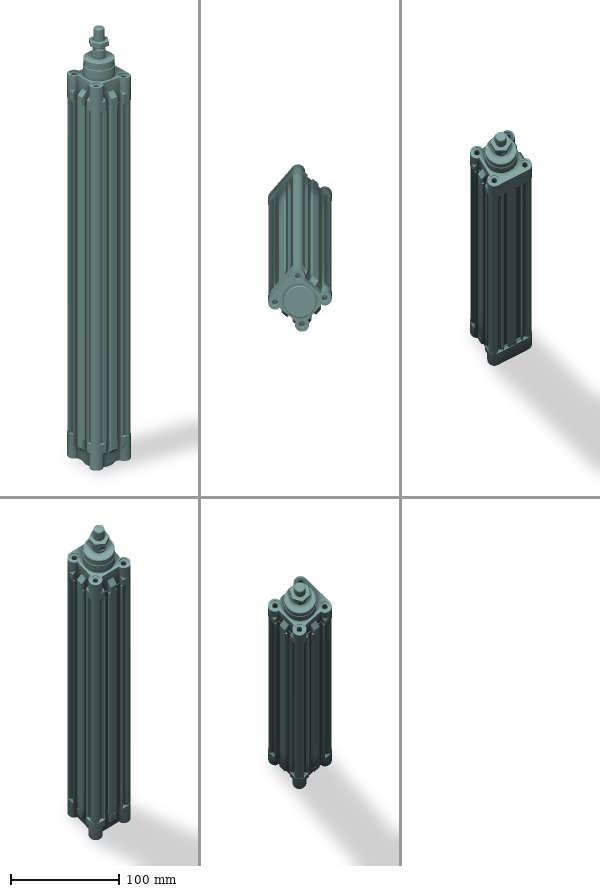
import cadquery as cq
import math


BODY_LENGTH = 394.0
CAP_LENGTH = 25.5
ROD_REACH = 48.0
PROFILE_END = BODY_LENGTH - CAP_LENGTH

BODY_WIDTH = 45.5
HALF_WIDTH = BODY_WIDTH / 2
SCREW_PITCH = 32.5
POST_OFFSET = SCREW_PITCH / 2
POST_RADIUS = HALF_WIDTH - POST_OFFSET
PROFILE_WIDTH = 45.0
HALF_PROFILE = PROFILE_WIDTH / 2
PROFILE_CORNER_RADIUS = HALF_PROFILE - POST_OFFSET
RECESS_WIDTH = 20.6
HALF_RECESS = RECESS_WIDTH / 2
CAP_FACE = 17.35
PROFILE_FACE = 18.3
ROOT_DEPTH = 3.0

BLOCK_LENGTH = 9.4
MIDDLE_BLOCK_TOP = 22.7

RIB_NECK = 6.8
RIB_HEAD = 9.4
HEAD_START = 20.3
CORNER_LIP = 0.8

GROOVE_OFFSET = 13.4
GROOVE_STEPS = ((6.2, 1.0), (4.0, 2.5), (1.4, 3.5))

RECESS_DIAMETER = 9.5
RECESS_DEPTH = 1.0
SCREW_THREAD = 6.0
SCREW_CORE = 4.92
SCREW_HOLE_DEPTH = 12.0
DRILL_POINT_ANGLE = 118.0

COLLAR_DIAMETER = 30.0
COLLAR_NOSE_DIAMETER = 29.0
COLLAR_LENGTH = 18.0
COLLAR_BASE_LENGTH = 10.5
REAR_COLLAR_LENGTH = 4.0
COLLAR_CHAMFER = 0.5

ROD_DIAMETER = 12.0
THREAD_DIAMETER = 10.0
THREAD_CORE = 8.65
THREAD_LENGTH = 20.6
ROD_SHOULDER_CHAMFER = (ROD_DIAMETER - THREAD_DIAMETER) / 2
FLATS_ACROSS = 10.0
FLATS_LENGTH = 6.5
NUT_ACROSS_FLATS = 17.0
NUT_THICKNESS = 5.0
NUT_FACE_DIAMETER = 17.0
NUT_BEVEL_ANGLE = 15.0
NUT_SETBACK = 12.5

ROD_TIP = BODY_LENGTH + ROD_REACH
SHOULDER = ROD_TIP - THREAD_LENGTH
CORNERS = [(x, y) for x in (-POST_OFFSET, POST_OFFSET) for y in (-POST_OFFSET, POST_OFFSET)]


def turned(shape, angle):
    """Turn a shape about the cylinder axis."""
    return shape.rotate((0, 0, 0), (0, 0, 1), angle)


def box(x_range, y_range, z_range):
    """Box between two limits along each axis."""
    size = [high - low for low, high in (x_range, y_range, z_range)]
    corner = (x_range[0], y_range[0], z_range[0])
    return cq.Workplane("XY").box(*size, centered=False).translate(corner)


def profile_rib():
    """Rib in the middle of the -Y side: a narrow neck and a wider head with bevelled corners."""
    neck = RIB_NECK / 2
    head = RIB_HEAD / 2
    bevel = head - neck
    right_half = [
        (neck, -HALF_PROFILE),
        (head, -HALF_PROFILE + bevel),
        (head, -HEAD_START),
        (neck, -HEAD_START),
        (neck, -PROFILE_FACE + ROOT_DEPTH),
    ]
    left_half = [(-x, y) for x, y in reversed(right_half)]
    return (
        cq.Workplane("XY")
        .workplane(offset=CAP_LENGTH)
        .polyline(right_half + left_half)
        .close()
        .extrude(PROFILE_END - CAP_LENGTH)
    )


def profile_side_channels():
    """Material removed on the -Y side: the recess between the corners and the stepped grooves."""
    z_range = (CAP_LENGTH, PROFILE_END)
    opening = HALF_RECESS - CORNER_LIP
    channels = box((-opening, opening), (-HALF_PROFILE, -PROFILE_FACE), z_range)
    channels = channels.union(box((-HALF_RECESS, HALF_RECESS), (-HEAD_START, -PROFILE_FACE), z_range))
    for side in (-1, 1):
        centre = side * GROOVE_OFFSET
        for width, depth in GROOVE_STEPS:
            x_range = (centre - width / 2, centre + width / 2)
            channels = channels.union(box(x_range, (-HALF_PROFILE, -HALF_PROFILE + depth), z_range))
    return channels


def make_profile():
    """Extruded tube section, the same on all four sides."""
    profile = (
        cq.Workplane("XY")
        .workplane(offset=CAP_LENGTH)
        .rect(PROFILE_WIDTH, PROFILE_WIDTH)
        .extrude(PROFILE_END - CAP_LENGTH)
        .edges("|Z")
        .fillet(PROFILE_CORNER_RADIUS)
    )
    for angle in range(0, 360, 90):
        profile = profile.cut(turned(profile_side_channels(), angle))
        profile = profile.union(turned(profile_rib(), angle))
    return profile


def lead_block(x_low, x_high, top):
    """Block on the -Y side of the rear cap, with a 45 degree ramp down to the cap face."""
    root = -CAP_FACE + ROOT_DEPTH
    flat_start = CAP_LENGTH - BLOCK_LENGTH
    ramp_start = flat_start - (top - CAP_FACE)
    return (
        cq.Workplane("YZ")
        .workplane(offset=x_low)
        .polyline([
            (root, CAP_LENGTH),
            (-top, CAP_LENGTH),
            (-top, flat_start),
            (-CAP_FACE, ramp_start),
            (root, ramp_start),
        ])
        .close()
        .extrude(x_high - x_low)
    )


def make_rear_cap():
    """Rear cap with corner posts, a full +Y side and lead blocks on the three other sides."""
    cap = box((-CAP_FACE, CAP_FACE), (-CAP_FACE, CAP_FACE), (0, CAP_LENGTH))
    cap = cap.union(cq.Workplane("XY").pushPoints(CORNERS).circle(POST_RADIUS).extrude(CAP_LENGTH))
    cap = cap.union(box((-POST_OFFSET, POST_OFFSET), (0, HALF_WIDTH), (0, CAP_LENGTH)))
    blocks = (
        lead_block(-RIB_NECK / 2, RIB_NECK / 2, MIDDLE_BLOCK_TOP),
        lead_block(-POST_OFFSET, -HALF_RECESS, HALF_WIDTH),
        lead_block(HALF_RECESS, POST_OFFSET, HALF_WIDTH),
    )
    side_recess = box((-HALF_RECESS, HALF_RECESS), (-HALF_WIDTH, -CAP_FACE), (0, CAP_LENGTH))
    for angle in (-90, 0, 90):
        cap = cap.cut(turned(side_recess, angle))
        for block in blocks:
            cap = cap.union(turned(block, angle))
    return cap.cut(screw_recesses())


def screw_recesses():
    """Screw recesses in the outer end of the posts: wide seat, thread mouth, core and drill point."""
    seat = RECESS_DIAMETER / 2
    mouth = SCREW_THREAD / 2
    core = SCREW_CORE / 2
    mouth_end = RECESS_DEPTH + mouth - core
    point = core / math.tan(math.radians(DRILL_POINT_ANGLE / 2))
    recess = (
        cq.Workplane("XZ")
        .polyline([
            (0, 0),
            (seat, 0),
            (seat, RECESS_DEPTH),
            (mouth, RECESS_DEPTH),
            (core, mouth_end),
            (core, SCREW_HOLE_DEPTH),
            (0, SCREW_HOLE_DEPTH + point),
        ])
        .close()
        .revolve(360, (0, 0, 0), (0, 1, 0))
    )
    recesses = cq.Workplane("XY")
    for x, y in CORNERS:
        recesses = recesses.add(recess.translate((x, y, 0)))
    return recesses.combine()


def make_front_collar():
    """Front collar: a wide base and a slightly narrower nose."""
    base = cq.Workplane("XY").workplane(offset=BODY_LENGTH).circle(COLLAR_DIAMETER / 2)
    base = base.extrude(COLLAR_BASE_LENGTH).faces(">Z").chamfer(COLLAR_CHAMFER)
    nose = cq.Workplane("XY").workplane(offset=BODY_LENGTH).circle(COLLAR_NOSE_DIAMETER / 2)
    nose = nose.extrude(COLLAR_LENGTH).faces(">Z").chamfer(COLLAR_CHAMFER)
    return base.union(nose)


def make_rear_collar():
    """Short centring collar behind the rear cap."""
    collar = cq.Workplane("XY").circle(COLLAR_DIAMETER / 2).extrude(-REAR_COLLAR_LENGTH)
    return collar.faces("<Z").chamfer(COLLAR_CHAMFER)


def make_housing():
    """Profile, both caps and collars as one body, with a bore for the rod in the front cap."""
    rear_cap = make_rear_cap()
    front_cap = rear_cap.mirror("XY").translate((0, 0, BODY_LENGTH))
    housing = make_profile().union(rear_cap).union(front_cap)
    housing = housing.union(make_front_collar()).union(make_rear_collar())
    bore = cq.Workplane("XY").workplane(offset=PROFILE_END).circle(ROD_DIAMETER / 2)
    return housing.cut(bore.extrude(ROD_TIP - PROFILE_END))


def make_rod():
    """Piston rod with two wrench flats and a threaded end."""
    rod = cq.Workplane("XY").workplane(offset=PROFILE_END).circle(ROD_DIAMETER / 2)
    rod = rod.extrude(SHOULDER - PROFILE_END).faces(">Z").chamfer(ROD_SHOULDER_CHAMFER)
    half_rod = ROD_DIAMETER / 2
    for y_range in ((-half_rod, -FLATS_ACROSS / 2), (FLATS_ACROSS / 2, half_rod)):
        rod = rod.cut(box((-half_rod, half_rod), y_range, (SHOULDER - FLATS_LENGTH, SHOULDER)))
    thread = cq.Workplane("XY").workplane(offset=SHOULDER).circle(THREAD_DIAMETER / 2)
    thread = thread.extrude(THREAD_LENGTH).faces(">Z").chamfer((THREAD_DIAMETER - THREAD_CORE) / 2)
    return rod.union(thread)


def make_nut():
    """Hexagon nut on the thread, with corners on the Y axis and bevelled at both ends."""
    corner_radius = NUT_ACROSS_FLATS / 2 / math.cos(math.pi / 6)
    face_radius = NUT_FACE_DIAMETER / 2
    bevel = (corner_radius - face_radius) * math.tan(math.radians(NUT_BEVEL_ANGLE))
    hexagon = turned(cq.Workplane("XY").polygon(6, 2 * corner_radius).extrude(NUT_THICKNESS), 90)
    envelope = (
        cq.Workplane("XZ")
        .polyline([
            (THREAD_DIAMETER / 2, 0),
            (face_radius, 0),
            (corner_radius, bevel),
            (corner_radius, NUT_THICKNESS - bevel),
            (face_radius, NUT_THICKNESS),
            (THREAD_DIAMETER / 2, NUT_THICKNESS),
        ])
        .close()
        .revolve(360, (0, 0, 0), (0, 1, 0))
    )
    return hexagon.intersect(envelope).translate((0, 0, ROD_TIP - NUT_SETBACK - NUT_THICKNESS))


housing = make_housing()
rod = make_rod()
nut = make_nut()

result = cq.Compound.makeCompound([housing.val(), rod.val(), nut.val()])